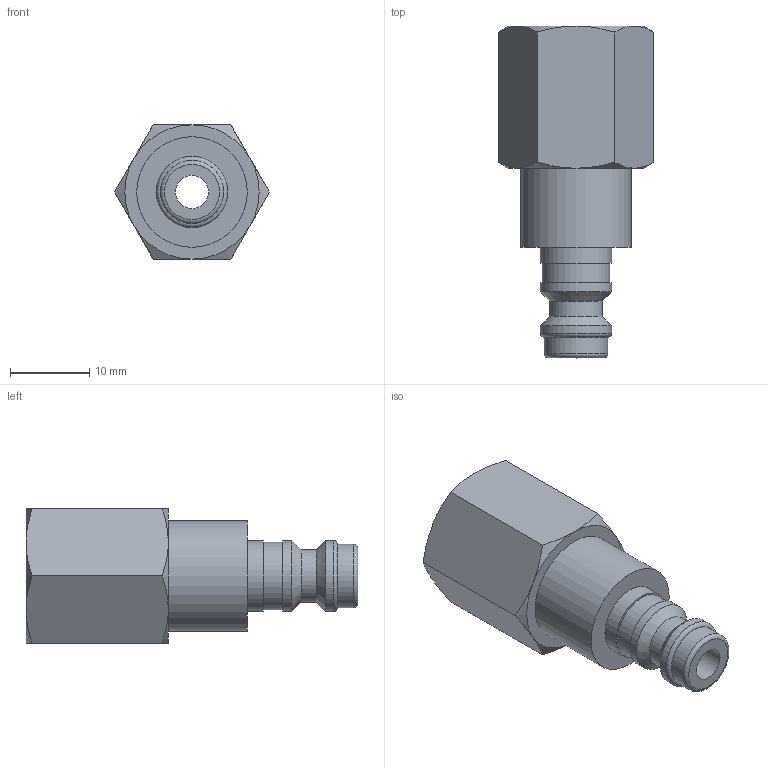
import cadquery as cq
import math

overall_length = 42.0
bore_radius = 2.1

hex_sides = 6
across_flats = 17.0
hex_length = 18.0
hex_chamfer_angle = 30.0

body_radius = 7.0
body_length = 10.0

tip_radius = 4.0
collar_radius = 4.5
neck_radius = 3.35
relief_radius = 4.25
edge_round = 0.5

tip_length = 2.6
front_collar_length = 1.5
neck_length = 1.95
rear_collar_length = 1.15
relief_length = 2.5

tip_y = -overall_length / 2
hex_end_y = overall_length / 2
hex_start_y = hex_end_y - hex_length
body_start_y = hex_start_y - body_length

groove_flank = collar_radius - neck_radius

front_collar_y = tip_y + tip_length
front_flank_y = front_collar_y + front_collar_length
neck_start_y = front_flank_y + groove_flank
neck_end_y = neck_start_y + neck_length
rear_collar_y = neck_end_y + groove_flank
relief_start_y = rear_collar_y + rear_collar_length
relief_end_y = relief_start_y + relief_length


def revolve_about_y(profile):
    """Close a half profile and turn it about the Y axis."""
    return profile.close().revolve(360, (0, 0, 0), (0, 1, 0))


def make_plug_and_body():
    """Stepped plug with its locking groove, and the round body behind it."""
    arc_mid = edge_round * (1 - math.sqrt(0.5))
    profile = (
        cq.Workplane("XY")
        .moveTo(0, tip_y)
        .lineTo(tip_radius - edge_round, tip_y)
        .threePointArc((tip_radius - arc_mid, tip_y + arc_mid), (tip_radius, tip_y + edge_round))
        .lineTo(tip_radius, front_collar_y)
        .threePointArc(
            (collar_radius - arc_mid, front_collar_y + arc_mid),
            (collar_radius, front_collar_y + edge_round),
        )
        .lineTo(collar_radius, front_flank_y)
        .lineTo(neck_radius, neck_start_y)
        .lineTo(neck_radius, neck_end_y)
        .lineTo(collar_radius, rear_collar_y)
        .lineTo(collar_radius, relief_start_y)
        .lineTo(relief_radius, relief_start_y)
        .lineTo(relief_radius, relief_end_y)
        .lineTo(collar_radius, relief_end_y)
        .lineTo(collar_radius, body_start_y)
        .lineTo(body_radius, body_start_y)
        .lineTo(body_radius, hex_start_y)
        .lineTo(0, hex_start_y)
    )
    return revolve_about_y(profile)


def make_hexagon():
    """Hexagon with two corners on the X axis and conical chamfers at both ends."""
    flat_radius = across_flats / 2
    corner_radius = flat_radius / math.cos(math.pi / hex_sides)
    trim_radius = across_flats
    cone_depth = (trim_radius - flat_radius) * math.tan(math.radians(hex_chamfer_angle))

    prism = (
        cq.Workplane("XZ", origin=(0, hex_end_y, 0))
        .polygon(hex_sides, 2 * corner_radius)
        .extrude(hex_length)
    )
    trim_profile = (
        cq.Workplane("XY")
        .moveTo(0, hex_start_y)
        .lineTo(flat_radius, hex_start_y)
        .lineTo(trim_radius, hex_start_y + cone_depth)
        .lineTo(trim_radius, hex_end_y - cone_depth)
        .lineTo(flat_radius, hex_end_y)
        .lineTo(0, hex_end_y)
    )
    return prism.intersect(revolve_about_y(trim_profile))


def make_bore():
    """Straight bore through the full length."""
    return cq.Workplane("XZ", origin=(0, hex_end_y, 0)).circle(bore_radius).extrude(overall_length)


result = make_plug_and_body().union(make_hexagon()).cut(make_bore())